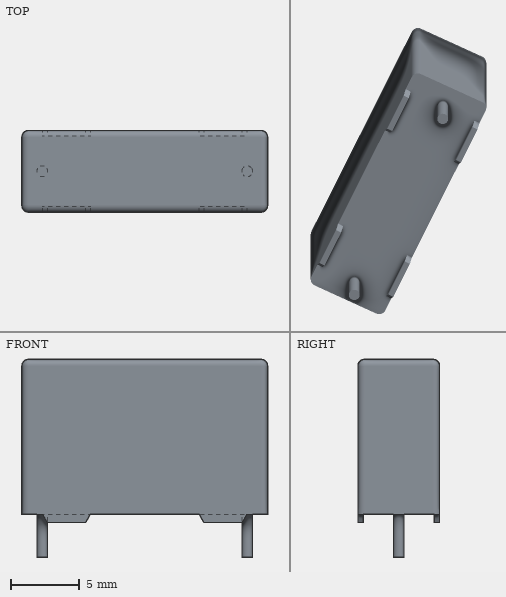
import cadquery as cq
import math

length = 18.0
width = 6.0
total_height = 14.5
lead_length = 3.15
housing_height = total_height - lead_length
edge_radius = 0.5

foot_height = 0.6
foot_thickness = 0.41
foot_top_length = 3.5
foot_end_gap = 1.53
foot_slope_angle = 30.0
foot_slope_run = foot_height * math.tan(math.radians(foot_slope_angle))

lead_diameter = 0.8
lead_pitch = 15.0


def make_foot(x_center, y_front):
    """Tapered foot hanging below the housing, running from y_front towards +Y."""
    half_top = foot_top_length / 2
    half_bottom = half_top - foot_slope_run
    return (
        cq.Workplane("XZ", origin=(x_center, y_front, 0))
        .moveTo(-half_top, 0)
        .lineTo(-half_bottom, -foot_height)
        .lineTo(half_bottom, -foot_height)
        .lineTo(half_top, 0)
        .close()
        .extrude(-foot_thickness)
    )


def make_housing():
    """Box with rounded upright and top edges, standing on four feet."""
    block = (
        cq.Workplane("XY")
        .box(length, width, housing_height, centered=(True, True, False))
        .edges("|Z or >Z")
        .fillet(edge_radius)
    )
    foot_x = length / 2 - foot_end_gap - foot_top_length / 2
    for x_center in (-foot_x, foot_x):
        for y_front in (-width / 2, width / 2 - foot_thickness):
            block = block.union(make_foot(x_center, y_front))
    return block


def make_lead(x_center):
    """Round wire lead running down from the underside of the housing."""
    return (
        cq.Workplane("XY", origin=(x_center, 0, 0))
        .circle(lead_diameter / 2)
        .extrude(-lead_length)
    )


housing = make_housing()
leads = [make_lead(side * lead_pitch / 2) for side in (-1, 1)]

result = cq.Compound.makeCompound([housing.val(), *[lead.val() for lead in leads]])